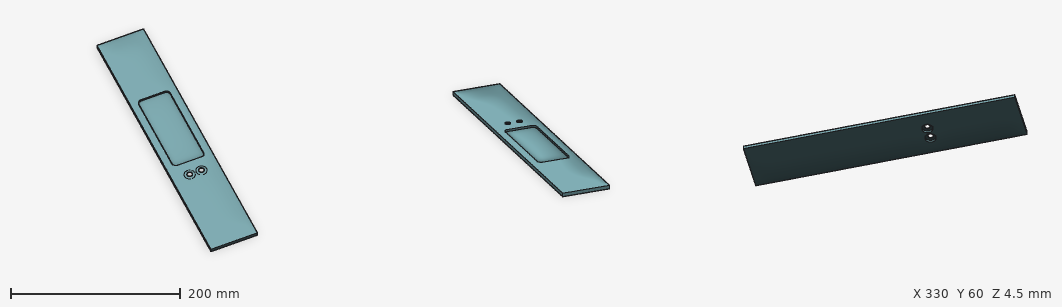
import cadquery as cq

length = 330.0
width = 60.0
thickness = 4.5

pocket_length = 106.0
pocket_width = 40.5
pocket_depth = 2.5
pocket_corner_radius = 5.0
pocket_center_x = -17.5

hole_diameter = 6.5
hole_spacing = 15.2
hole_x = 53.0

counterbore_diameter = 13.2
counterbore_depth = 3.3


def make_plate():
    return cq.Workplane("XY").box(length, width, thickness, centered=(True, True, False))


def make_pocket():
    return (
        cq.Workplane("XY", origin=(pocket_center_x, 0, thickness - pocket_depth))
        .rect(pocket_length, pocket_width)
        .extrude(pocket_depth)
        .edges("|Z")
        .fillet(pocket_corner_radius)
    )


def make_cylinders(diameter, height):
    """One upright cylinder at each hole position, standing on the underside plane."""
    return (
        cq.Workplane("XY")
        .pushPoints([(hole_x, -hole_spacing / 2), (hole_x, hole_spacing / 2)])
        .circle(diameter / 2)
        .extrude(height)
    )


through_holes = make_cylinders(hole_diameter, thickness)
counterbores = make_cylinders(counterbore_diameter, counterbore_depth)

result = make_plate().cut(make_pocket()).cut(through_holes).cut(counterbores)